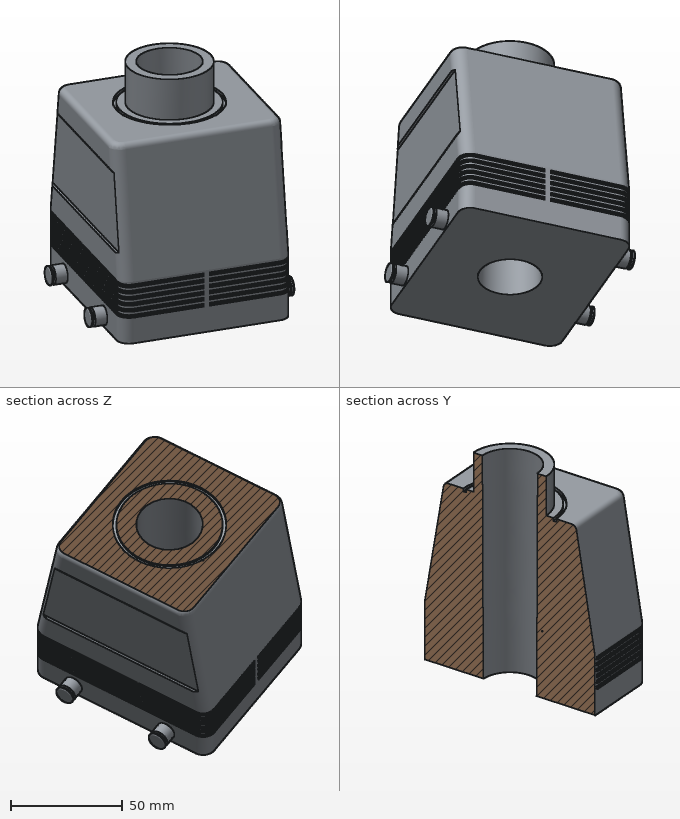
import cadquery as cq

LENGTH = 93.5
WIDTH = 82.5
BODY_HEIGHT = 94.0
TOP_LENGTH = 72.4
SLOPE_START = 30.5
CORNER_RADIUS = 6.0
TOP_RADIUS = 3.0

RECESS_DEPTH = 0.8
RECESS_BOTTOM = 42.7
RECESS_TOP = 80.9

GROOVE_COUNT = 6
GROOVE_PITCH = 3.0
FIRST_GROOVE = 13.45
GROOVE_WIDTH = 1.5
GROOVE_FLOOR = 0.75
GROOVE_DEPTH = 0.6
RIB_WIDTH = 3.0

PIN_SPACING = 49.5
PIN_HEIGHT = 5.75
PIN_DIAMETER = 9.0
PIN_NECK_DIAMETER = 5.0
PIN_EMBEDMENT = 6.0
PIN_SPAN = 98.5
PIN_HEAD = 1.4
PIN_NECK = 0.9
PIN_HEAD_ROUND = 0.6
PIN_HEAD_TAPER = 0.3

ENTRY_HEIGHT = 114.0
ENTRY_DIAMETER = 40.0
BORE_TOP_DIAMETER = 30.0
BORE_BOTTOM_DIAMETER = 29.0
RING_INNER_DIAMETER = 48.0
RING_OUTER_DIAMETER = 51.0
RING_DEPTH = 1.5


def hood_body():
    """Upright base with leaning end walls, rounded corners and a rounded top edge."""
    half_base = LENGTH / 2
    half_top = TOP_LENGTH / 2
    outline = [
        (-half_base, 0),
        (half_base, 0),
        (half_base, SLOPE_START),
        (half_top, BODY_HEIGHT),
        (-half_top, BODY_HEIGHT),
        (-half_base, SLOPE_START),
    ]
    body = cq.Workplane("XZ").polyline(outline).close().extrude(WIDTH / 2, both=True)
    body = body.edges("not #Z").fillet(CORNER_RADIUS)
    return body.faces(">Z").edges().fillet(TOP_RADIUS)


def side_recess(side):
    """Cutter for the recess in one long side, with 45 degree steps at its ends."""
    face = side * WIDTH / 2
    floor = face - side * RECESS_DEPTH
    profile = [
        (face, RECESS_BOTTOM),
        (floor, RECESS_BOTTOM + RECESS_DEPTH),
        (floor, RECESS_TOP - RECESS_DEPTH),
        (face, RECESS_TOP),
    ]
    return cq.Workplane("YZ").polyline(profile).close().extrude(LENGTH / 2, both=True)


def grip_groove(height):
    """Cutter for one trapezoidal groove around the base, broken by the end ribs."""
    path = cq.Workplane("XY", origin=(0, 0, height)).rect(LENGTH, WIDTH).extrude(1)
    path = path.edges("|Z").fillet(CORNER_RADIUS).faces("<Z").wires()
    face = -WIDTH / 2
    floor = face + GROOVE_DEPTH
    profile = [
        (face, height - GROOVE_WIDTH / 2),
        (floor, height - GROOVE_FLOOR / 2),
        (floor, height + GROOVE_FLOOR / 2),
        (face, height + GROOVE_WIDTH / 2),
    ]
    groove = cq.Workplane("YZ").polyline(profile).close().sweep(path)
    ribs = cq.Workplane("XY").box(2 * LENGTH, RIB_WIDTH, GROOVE_WIDTH)
    return groove.cut(ribs.translate((0, 0, height)))


def locking_pin(x, side):
    """Headed pin standing out of one long side, turned from a single profile."""
    radius = PIN_DIAMETER / 2
    neck_radius = PIN_NECK_DIAMETER / 2
    head_end = PIN_SPAN / 2
    neck_end = head_end - PIN_HEAD
    shank_end = neck_end - PIN_NECK
    root = WIDTH / 2 - PIN_EMBEDMENT
    profile = (
        cq.Workplane("XY")
        .moveTo(0, root)
        .lineTo(radius, root)
        .lineTo(radius, shank_end)
        .lineTo(neck_radius, shank_end)
        .lineTo(neck_radius, neck_end)
        .lineTo(radius - PIN_HEAD_TAPER, neck_end)
        .lineTo(radius, head_end - PIN_HEAD_ROUND)
        .radiusArc((radius - PIN_HEAD_ROUND, head_end), -PIN_HEAD_ROUND)
        .lineTo(0, head_end)
        .close()
    )
    pin = profile.revolve(360, (0, 0, 0), (0, 1, 0))
    if side < 0:
        pin = pin.mirror("XZ")
    return pin.translate((x, 0, PIN_HEIGHT))


def entry_ring_groove():
    """Cutter for the ring groove in the top face around the cable entry."""
    ring = cq.Workplane("XY").circle(RING_OUTER_DIAMETER / 2).circle(RING_INNER_DIAMETER / 2)
    return ring.extrude(RING_DEPTH).translate((0, 0, BODY_HEIGHT - RING_DEPTH))


def tapered_bore():
    """Cutter for the bore, which narrows slightly from the entry down to the base."""
    bore = cq.Solid.makeCone(BORE_BOTTOM_DIAMETER / 2, BORE_TOP_DIAMETER / 2, ENTRY_HEIGHT)
    return cq.Workplane("XY").add(bore)


hood = hood_body()

for side in (-1, 1):
    hood = hood.cut(side_recess(side))

for index in range(GROOVE_COUNT):
    hood = hood.cut(grip_groove(FIRST_GROOVE + index * GROOVE_PITCH))

for side in (-1, 1):
    for x in (-PIN_SPACING / 2, PIN_SPACING / 2):
        hood = hood.union(locking_pin(x, side))

hood = hood.cut(entry_ring_groove())
entry = cq.Workplane("XY").workplane(offset=BODY_HEIGHT)
hood = hood.union(entry.circle(ENTRY_DIAMETER / 2).extrude(ENTRY_HEIGHT - BODY_HEIGHT))
result = hood.cut(tapered_bore())